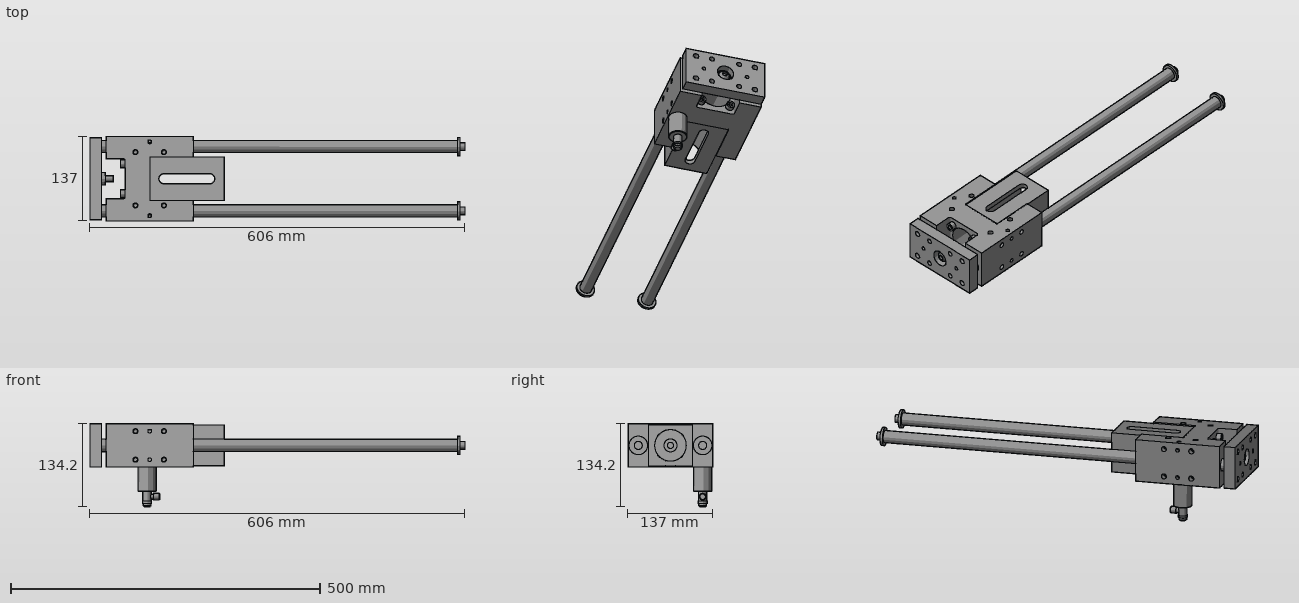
import cadquery as cq


total_length = 606.0
total_height = 134.16

housing_start = 26.0
housing_length = 141.0
housing_width = 137.0
housing_height = 70.0
housing_end = housing_start + housing_length
housing_middle = housing_start + housing_length / 2
housing_top = housing_height / 2

notch_depth = 31.0
notch_width = 64.0
notch_corner_radius = 3.0
notch_wall = housing_start + notch_depth
screw_head_diameter = 13.0
screw_head_length = 8.0
screw_socket_diameter = 7.0
screw_socket_depth = 4.0
screw_spacing_y = 48.5
screw_spacing_z = 43.5

block_start = 97.0
block_end = 217.0
block_width = 71.0
block_height = 66.0
bore_diameter = 51.0
slot_start = 111.5
slot_end = 201.5
slot_width = 16.0

hole_spacing = 46.0
thread_diameter = 8.2
thread_depth = 14.0
core_diameter = 6.65
core_depth = 17.0
core_point_length = 2.0
top_hole_spacing = 86.0
dowel_diameter = 6.0
dowel_depth = 10.0
top_dowel_spacing = 119.0

lock_x = 92.3
lock_diameter = 30.0
lock_length = 39.5
lock_chamfer = 1.0
fitting_diameter = 15.0
fitting_tip_diameter = 13.0
fitting_tip_length = 5.5
fitting_tip_chamfer = 2.0
fitting_ring_width = 3.5
fitting_ring_groove = 0.5
lock_bottom = -housing_top - lock_length
fitting_bottom = housing_top - total_height
port_z = lock_bottom - 8.3
port_neck_diameter = 8.5
port_diameter = 11.0
port_chamfer = 1.0
port_start = lock_x + 10.5
port_end = lock_x + 20.5

plate_thickness = 19.0
plate_width = 133.0
plate_height = 70.0
rod_spacing = 104.0
rod_diameter = 20.0
stop_diameter = 30.0
stop_thickness = 4.0
stop_screw_length = 8.0
rod_end = total_length - stop_screw_length - stop_thickness

coupling_recess_diameter = 27.0
coupling_recess_depth = 12.0
head_diameter = 18.0
head_height = 9.0
head_rounding = 4.9
head_flange_diameter = 21.0
head_flange_thickness = 3.0
head_socket_diameter = 8.0
head_socket_depth = 4.0
collar_diameter = 21.0
collar_end = 25.0
stud_diameter = 10.0
stud_end = 38.0

corner_hole_diameter = 9.0
corner_hole_spacing = 99.5
inner_hole_diameter = 8.0
plate_dowel_diameter = 6.0
plate_dowel_spacing = 73.0


def box_between(x_start, x_end, width, height):
    """Box centred on Y = 0 and Z = 0."""
    return cq.Workplane("XY").box(x_end - x_start, width, height).translate(((x_start + x_end) / 2, 0, 0))


def rod_along_x(diameter, x_start, x_end, y=0.0, z=0.0):
    return cq.Workplane("YZ", origin=(x_start, y, z)).circle(diameter / 2).extrude(x_end - x_start)


def drill(diameter, depth, point, direction):
    return cq.Workplane(cq.Solid.makeCylinder(diameter / 2, depth, cq.Vector(*point), cq.Vector(*direction)))


def tapped_hole(point, direction):
    thread = drill(thread_diameter, thread_depth, point, direction)
    core = drill(core_diameter, core_depth, point, direction)
    inward = cq.Vector(*direction)
    core_bottom = cq.Vector(*point) + inward * core_depth
    drill_point = cq.Solid.makeCone(core_diameter / 2, 0, core_point_length, core_bottom, inward)
    return thread.union(core).union(cq.Workplane(drill_point))


def dowel_hole(point, direction):
    return drill(dowel_diameter, dowel_depth, point, direction)


def mirrored_pairs(y_spacing, z_spacing):
    return [(sy * y_spacing / 2, sz * z_spacing / 2) for sy in (-1, 1) for sz in (-1, 1)]


def make_rod_lock():
    barrel = (
        cq.Workplane("XY", origin=(lock_x, rod_spacing / 2, lock_bottom))
        .circle(lock_diameter / 2)
        .extrude(lock_length)
        .faces("<Z")
        .chamfer(lock_chamfer)
    )
    fitting_radius = fitting_diameter / 2
    tip_radius = fitting_tip_diameter / 2
    tip_top = fitting_bottom + fitting_tip_length
    ring_top = tip_top + fitting_ring_width
    groove_radius = fitting_radius - fitting_ring_groove
    fitting = (
        cq.Workplane("XZ")
        .moveTo(0, fitting_bottom)
        .lineTo(tip_radius - fitting_tip_chamfer, fitting_bottom)
        .lineTo(tip_radius, fitting_bottom + fitting_tip_chamfer)
        .lineTo(tip_radius, tip_top)
        .lineTo(fitting_radius, tip_top)
        .lineTo(fitting_radius, ring_top)
        .lineTo(groove_radius, ring_top)
        .lineTo(groove_radius, lock_bottom)
        .lineTo(0, lock_bottom)
        .close()
        .revolve(360, (0, 0, 0), (0, 1, 0))
        .translate((lock_x, rod_spacing / 2, 0))
    )
    neck = rod_along_x(port_neck_diameter, lock_x, port_start, rod_spacing / 2, port_z)
    port = rod_along_x(port_diameter, port_start, port_end, rod_spacing / 2, port_z)
    port = port.faces(">X").chamfer(port_chamfer)
    return barrel.union(fitting).union(neck).union(port)


def cut_mounting_holes(body):
    for side in (-1, 1):
        side_face = side * housing_width / 2
        inward = (0, -side, 0)
        for level in (-1, 1):
            z = level * hole_spacing / 2
            body = body.cut(dowel_hole((housing_middle, side_face, z), inward))
            for end in (-1, 1):
                x = housing_middle + end * hole_spacing / 2
                body = body.cut(tapped_hole((x, side_face, z), inward))
        down = (0, 0, -1)
        body = body.cut(dowel_hole((housing_middle, side * top_dowel_spacing / 2, housing_top), down))
        for end in (-1, 1):
            x = housing_middle + end * hole_spacing / 2
            body = body.cut(tapped_hole((x, side * top_hole_spacing / 2, housing_top), down))
    return body


def make_housing():
    body = box_between(housing_start, housing_end, housing_width, housing_height)
    notch = box_between(housing_start, notch_wall, notch_width, housing_height)
    body = body.cut(notch.edges("|Z and >X").fillet(notch_corner_radius))
    body = body.cut(box_between(block_start, housing_end, block_width, housing_height))
    body = body.union(box_between(block_start, block_end, block_width, block_height))
    body = body.cut(rod_along_x(bore_diameter, notch_wall, block_end))
    slot = (
        cq.Workplane("XY", origin=((slot_start + slot_end) / 2, 0, 0))
        .slot2D(slot_end - slot_start, slot_width)
        .extrude(housing_height, both=True)
    )
    body = body.cut(slot)
    body = cut_mounting_holes(body)
    for y, z in mirrored_pairs(screw_spacing_y, screw_spacing_z):
        head_start = notch_wall - screw_head_length
        head = rod_along_x(screw_head_diameter, head_start, notch_wall, y, z)
        socket = rod_along_x(screw_socket_diameter, head_start, head_start + screw_socket_depth, y, z)
        body = body.union(head.cut(socket))
    body = body.union(make_rod_lock())
    for side in (-1, 1):
        body = body.cut(rod_along_x(rod_diameter, housing_start, housing_end, side * rod_spacing / 2))
    return body


def make_coupling():
    head_top = coupling_recess_depth - head_height
    head = rod_along_x(head_diameter, head_top, coupling_recess_depth).faces("<X").edges().fillet(head_rounding)
    flange_start = coupling_recess_depth - head_flange_thickness
    head = head.union(rod_along_x(head_flange_diameter, flange_start, coupling_recess_depth))
    head = head.cut(rod_along_x(head_socket_diameter, head_top, head_top + head_socket_depth))
    collar = rod_along_x(collar_diameter, plate_thickness, collar_end)
    stud = rod_along_x(stud_diameter, collar_end, stud_end)
    return head.union(collar).union(stud)


def make_slide():
    body = box_between(0, plate_thickness, plate_width, plate_height)
    for y, z in mirrored_pairs(corner_hole_spacing, hole_spacing):
        body = body.cut(rod_along_x(corner_hole_diameter, 0, plate_thickness, y, z))
    for y, z in mirrored_pairs(hole_spacing, hole_spacing):
        body = body.cut(rod_along_x(inner_hole_diameter, 0, plate_thickness, y, z))
    body = body.cut(rod_along_x(coupling_recess_diameter, 0, coupling_recess_depth))
    body = body.union(make_coupling())
    for side in (-1, 1):
        y = side * rod_spacing / 2
        body = body.cut(rod_along_x(plate_dowel_diameter, 0, plate_thickness, side * plate_dowel_spacing / 2))
        body = body.union(rod_along_x(rod_diameter, plate_thickness, rod_end, y))
        body = body.union(rod_along_x(stop_diameter, rod_end, rod_end + stop_thickness, y))
        body = body.union(rod_along_x(screw_head_diameter, rod_end + stop_thickness, total_length, y))
    return body


housing = make_housing()
slide = make_slide()
result = cq.Compound.makeCompound([housing.solids().val(), slide.solids().val()])